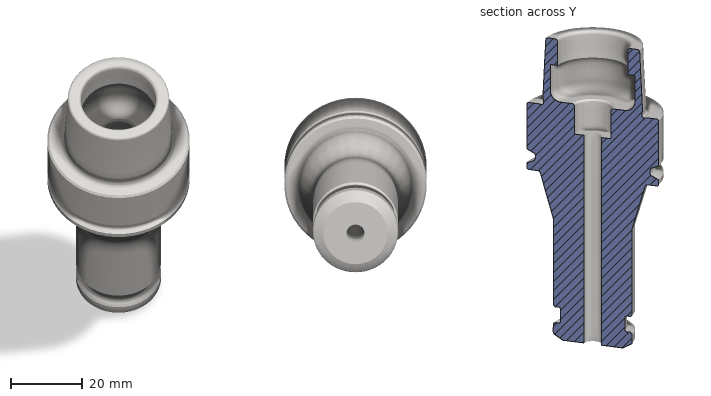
import cadquery as cq
import math

total_length = 89.5
edge_chamfer = 0.5
match_tolerance = 0.001

taper_length = 20.0
taper_base_radius = 15.1
taper_half_slope = 0.05
taper_tip_round = 0.7

relief_length = 1.8
relief_ramp = 0.5
relief_radius = 29.9 / 2
relief_outer_radius = 32.3 / 2
relief_face_angle = 15.0
relief_round = 0.5

flange_radius = 40.0 / 2
flange_top = total_length - taper_length
flange_bottom = 49.5
groove_middle = 53.5
groove_mouth = 4.1
groove_floor = 1.9
groove_radius = 34.8 / 2
groove_round = 0.7

cone_top_radius = 16.0
cone_round = 1.0
shaft_radius = 24.0 / 2
shaft_top = 36.0
shaft_bottom = 9.7
neck_radius = 19.5 / 2
neck_round = 0.5
collar_top = 5.1
end_chamfer_width = 2.95
end_chamfer_angle = 30.0
end_round = 0.9

mouth_radius = 21.0 / 2
mouth_round = 1.0
chamber_radius = 25.5 / 2
chamber_top_depth = 8.0
chamber_floor_depth = 18.6
chamber_flat_radius = 19.5 / 2
pocket_radius = 10.9 / 2
pocket_depth = 8.95
through_radius = 5.0 / 2


def round_circles(body, size, *circles):
    """Fillet the circular edges given as (radius, height) pairs."""

    def wanted(edge):
        if edge.geomType() != "CIRCLE":
            return False
        place = (edge.radius(), edge.Center().z)
        return any(math.dist(place, circle) < match_tolerance for circle in circles)

    return body.edges().filter(wanted).fillet(size)


def turned(points):
    """Revolve a closed (radius, height) outline about the Z axis."""
    return cq.Workplane("XZ").polyline(points).close().revolve(360, (0, 0, 0), (0, 1, 0))


def make_outside():
    taper_base = flange_top + relief_length
    tip_radius = taper_base_radius - taper_half_slope * (total_length - taper_base)
    relief_width = relief_outer_radius - relief_radius
    relief_bottom = flange_top - relief_width * math.tan(math.radians(relief_face_angle))
    end_chamfer_height = end_chamfer_width * math.tan(math.radians(end_chamfer_angle))
    floor_low = groove_middle - groove_floor / 2
    floor_high = groove_middle + groove_floor / 2

    body = turned([
        (0, 0),
        (shaft_radius - end_chamfer_width, 0),
        (shaft_radius, end_chamfer_height),
        (shaft_radius, collar_top - edge_chamfer),
        (shaft_radius - edge_chamfer, collar_top),
        (neck_radius, collar_top),
        (neck_radius, shaft_bottom),
        (shaft_radius - edge_chamfer, shaft_bottom),
        (shaft_radius, shaft_bottom + edge_chamfer),
        (shaft_radius, shaft_top),
        (cone_top_radius, flange_bottom),
        (flange_radius - edge_chamfer, flange_bottom),
        (flange_radius, flange_bottom + edge_chamfer),
        (flange_radius, groove_middle - groove_mouth / 2),
        (groove_radius, floor_low),
        (groove_radius, floor_high),
        (flange_radius, groove_middle + groove_mouth / 2),
        (flange_radius, flange_top - edge_chamfer),
        (flange_radius - edge_chamfer, flange_top),
        (relief_outer_radius, flange_top),
        (relief_radius, relief_bottom),
        (relief_radius, taper_base - relief_ramp),
        (taper_base_radius, taper_base),
        (tip_radius, total_length),
        (0, total_length),
    ])
    body = round_circles(body, end_round, (shaft_radius, end_chamfer_height))
    body = round_circles(body, neck_round, (neck_radius, collar_top), (neck_radius, shaft_bottom))
    body = round_circles(body, cone_round, (cone_top_radius, flange_bottom))
    body = round_circles(body, groove_round, (groove_radius, floor_low), (groove_radius, floor_high))
    body = round_circles(body, relief_round, (relief_radius, relief_bottom))
    return round_circles(body, taper_tip_round, (tip_radius, total_length))


def make_bore():
    chamber_top = total_length - chamber_top_depth
    chamber_floor = total_length - chamber_floor_depth
    pocket_floor = chamber_floor - pocket_depth

    bore = turned([
        (0, 0),
        (through_radius, 0),
        (through_radius, pocket_floor),
        (pocket_radius, pocket_floor),
        (pocket_radius, chamber_floor - edge_chamfer),
        (pocket_radius + edge_chamfer, chamber_floor),
        (chamber_radius, chamber_floor),
        (chamber_radius, chamber_top),
        (mouth_radius, chamber_top),
        (mouth_radius, total_length),
        (0, total_length),
    ])
    floor_round = chamber_radius - chamber_flat_radius
    return round_circles(bore, floor_round, (chamber_radius, chamber_floor))


result = make_outside().cut(make_bore())
result = round_circles(result, mouth_round, (mouth_radius, total_length))